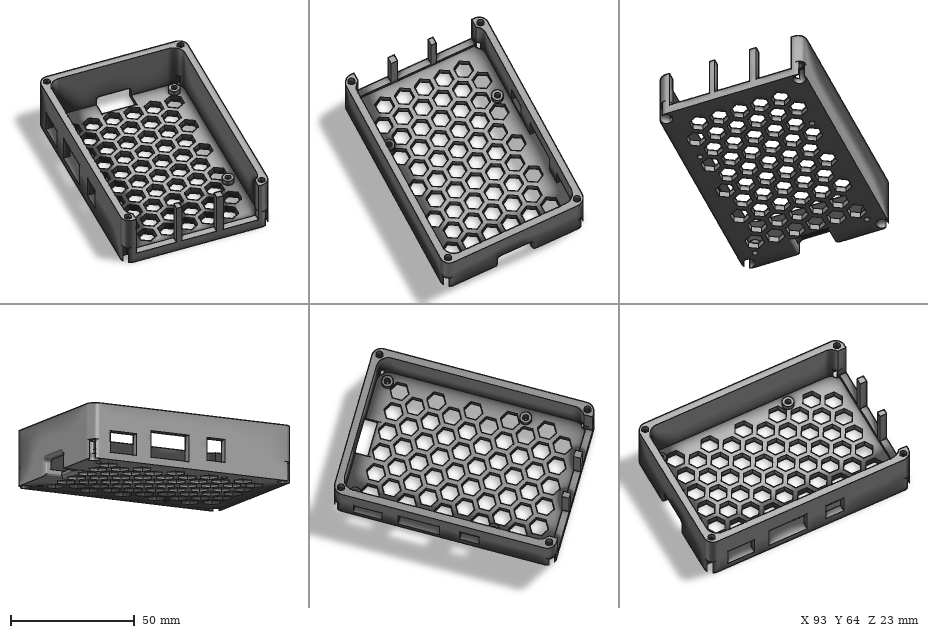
import cadquery as cq
import math

BOARD_LENGTH = 85.0
BOARD_WIDTH = 56.0
BOARD_CLEARANCE = 1.0
WALL = 3.0
FLOOR = 3.0
HEIGHT = 23.0
BOARD_OFFSET = WALL + BOARD_CLEARANCE
LENGTH = BOARD_LENGTH + 2 * BOARD_OFFSET
WIDTH = BOARD_WIDTH + 2 * BOARD_OFFSET
MID_Y = WIDTH / 2
OUTER_RADIUS = 4.0
INNER_RADIUS = 5.0

SCREW_DIAMETER = 2.85
SCREW_INSET = 2.85
COUNTERBORE_DIAMETER = 5.0
COUNTERBORE_DEPTH = 8.0

STANDOFF_DIAMETER = 4.8
STANDOFF_HOLE = 2.4
STANDOFF_TOP = 5.2
BOARD_HOLE_INSET = 3.5
STANDOFF_INSET = BOARD_OFFSET + BOARD_HOLE_INSET
STANDOFF_SPACING_X = 58.0
STANDOFF_SPACING_Y = 49.0

HEX_ACROSS_CORNERS = 8.0
HEX_GAP = 2.0
HEX_FLAT_RATIO = math.cos(math.pi / 6)
HEX_PITCH = HEX_ACROSS_CORNERS * HEX_FLAT_RATIO + HEX_GAP
HEX_COLUMN_STEP = HEX_PITCH * HEX_FLAT_RATIO
HEX_COLUMNS = 10
HEX_FIRST_X = 13.2
HEX_ROWS_EVEN = 6
HEX_ROWS_ODD = 5

PORTS = [
    (8.8, 20.9, FLOOR, 12.0),
    (27.6, 44.9, FLOOR, 14.0),
    (53.4, 61.6, 4.5, 14.0),
]

SILL_TOP = 4.5
END_OPENING_WIDTH = 53.2
END_POSTS = [(22.9, 25.2), (40.4, 43.3)]

CARD_WIDTH = 15.2
CARD_REACH = 8.0
CARD_TOP = 7.0
CARD_ROUND = 1.5
CARD_LIP_FLAT = 0.01
CARD_LIP_ROUND = FLOOR - CARD_ROUND - CARD_LIP_FLAT
EDGE_MARGIN = 0.1


def block(x_range, y_range, z_range):
    """Box spanning the given (start, end) ranges."""
    x0, x1 = x_range
    y0, y1 = y_range
    z0, z1 = z_range
    return cq.Workplane("XY").box(x1 - x0, y1 - y0, z1 - z0, centered=False).translate((x0, y0, z0))


def rounded_block(inset, radius, z_bottom, z_top):
    """Block with rounded vertical edges, inset from the outer outline."""
    plan = block((inset, LENGTH - inset), (inset, WIDTH - inset), (z_bottom, z_top))
    return plan.edges("|Z").fillet(radius)


def shell():
    """Open-topped tray."""
    outer = rounded_block(0, OUTER_RADIUS, 0, HEIGHT)
    return outer.cut(rounded_block(WALL, INNER_RADIUS, FLOOR, HEIGHT))


def cylinder(points, diameter, z_bottom, z_top):
    """Upright cylinders of one size at the given points."""
    plane = cq.Workplane("XY").workplane(offset=z_bottom)
    return plane.pushPoints(points).circle(diameter / 2).extrude(z_top - z_bottom)


def cut_end_opening(body):
    """Open the +X wall above the sill, leaving two full-height posts."""
    y_range = (MID_Y - END_OPENING_WIDTH / 2, MID_Y + END_OPENING_WIDTH / 2)
    inner_face = LENGTH - WALL
    body = body.cut(block((inner_face - INNER_RADIUS, inner_face), y_range, (FLOOR, HEIGHT)))
    body = body.cut(block((inner_face, LENGTH), y_range, (SILL_TOP, HEIGHT)))
    for post in END_POSTS:
        body = body.union(block((inner_face, LENGTH), post, (0, HEIGHT)))
    return body


def cut_ports(body):
    """Rectangular connector openings through the -Y wall."""
    for x0, x1, z0, z1 in PORTS:
        body = body.cut(block((x0, x1), (0, WALL), (z0, z1)))
    return body


def cut_card_notch(body):
    """Card notch with its outer rim flared and its floor edge rounded above and below."""
    y_range = (MID_Y - CARD_WIDTH / 2, MID_Y + CARD_WIDTH / 2)
    wall_cut = block((0, WALL), y_range, (0, CARD_TOP)).edges("|X and >Z").fillet(CARD_ROUND)
    floor_cut = block((0, CARD_REACH), y_range, (0, FLOOR))
    body = body.cut(wall_cut).cut(floor_cut)

    rim_zone = cq.selectors.BoxSelector(
        (-EDGE_MARGIN, y_range[0] - EDGE_MARGIN, -EDGE_MARGIN),
        (CARD_REACH + EDGE_MARGIN, y_range[1] + EDGE_MARGIN, CARD_TOP + EDGE_MARGIN),
    )
    body = body.faces("<X or <Z").edges(rim_zone).fillet(CARD_ROUND)
    floor_lip = cq.selectors.NearestToPointSelector((CARD_REACH, MID_Y, FLOOR))
    return body.edges(floor_lip).fillet(CARD_LIP_ROUND)


def cut_vents(body):
    """Staggered columns of hexagonal holes through the floor."""
    points = []
    for column in range(HEX_COLUMNS):
        rows = HEX_ROWS_ODD if column % 2 else HEX_ROWS_EVEN
        x = HEX_FIRST_X + column * HEX_COLUMN_STEP
        for row in range(rows):
            points.append((x, MID_Y + (row - (rows - 1) / 2) * HEX_PITCH))
    vents = cq.Workplane("XY").pushPoints(points).polygon(6, HEX_ACROSS_CORNERS).extrude(FLOOR)
    return body.cut(vents)


def add_standoffs(body):
    """Board standoffs, drilled through the floor."""
    points = [
        (STANDOFF_INSET + i * STANDOFF_SPACING_X, STANDOFF_INSET + j * STANDOFF_SPACING_Y)
        for i in range(2)
        for j in range(2)
    ]
    body = body.union(cylinder(points, STANDOFF_DIAMETER, 0, STANDOFF_TOP))
    return body.cut(cylinder(points, STANDOFF_HOLE, 0, STANDOFF_TOP))


def cut_lid_screws(body):
    """Corner screw holes whose counterbores break through the corner walls."""
    points = [(x, y) for x in (SCREW_INSET, LENGTH - SCREW_INSET) for y in (SCREW_INSET, WIDTH - SCREW_INSET)]
    bores = cylinder(points, SCREW_DIAMETER, COUNTERBORE_DEPTH, HEIGHT)
    return body.cut(bores).cut(cylinder(points, COUNTERBORE_DIAMETER, 0, COUNTERBORE_DEPTH))


result = shell()
result = cut_card_notch(result)
result = cut_end_opening(result)
result = cut_ports(result)
result = cut_vents(result)
result = add_standoffs(result)
result = cut_lid_screws(result)